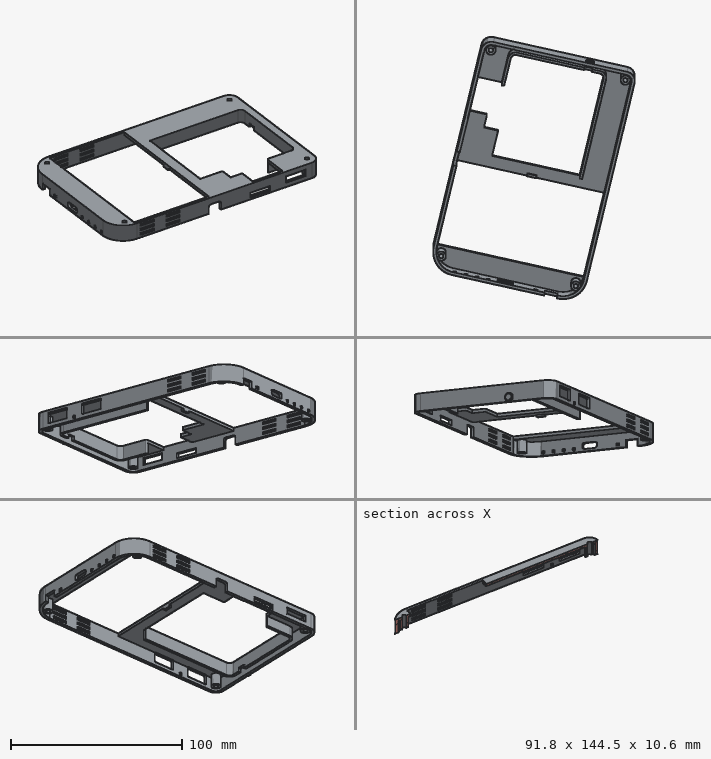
import cadquery as cq

WIDTH = 91.77
LENGTH = 143.37
HEIGHT = 10.6
WALL = 1.9
PLATE = 2.0
FRONT_RADIUS = 14.3
BACK_RADIUS = 5.9
LEFT = -WIDTH / 2
RIGHT = WIDTH / 2
FRONT = -LENGTH / 2
BACK = LENGTH / 2
INNER_RIGHT = RIGHT - WALL
PLATE_BOTTOM = HEIGHT - PLATE

OPENING_HALF_WIDTH = 27.75
OPENING_BACK = BACK - 5.3
OPENING_FRONT = BACK - 70.0
OPENING_RADIUS = 2.8
BAY_BACK = BACK - 25.2
BAY_FRONT = BACK - 46.2
STEP_RIGHT = 33.1
STEP_FRONT = BACK - 54.3
STEP_LEFT = 24.6
BAY_CORNER_RADIUS = 1.0
STEP_CORNER_RADIUS = 0.5

RIB = 1.6
RIB_BOTTOM = 2.0

LOWER_BACK = BACK - 77.1
LOWER_FRONT = FRONT + 13.8

TONGUE_LEFT = -3.4
TONGUE_RIGHT = 2.2
TONGUE_DEPTH = 1.2
TONGUE_RADIUS = 0.8

SCREW_DIAMETER = 2.6
BOSS_DIAMETER = 5.6
BOSS_BOTTOM = 1.2
SCREW_X = 40.3
BACK_SCREW_Y = BACK - 5.5
FRONT_SCREW_Y = FRONT + 9.5

PORT_LENGTH = 14.0
PORT_BOTTOM = 2.35
PORT_TOP = 9.0
PORT_RADIUS = 0.6
BACK_PORT_Y = BACK - 16.9
MIDDLE_PORT_Y = BACK - 42.0
MIDDLE_RIGHT_PORT_BOTTOM = 1.5
MIDDLE_RIGHT_PORT_TOP = 4.5
BACK_RIGHT_PORT_BOTTOM = 3.0
BACK_RIGHT_PORT_TOP = 7.2

SIDE_PINHOLE_Y = BACK - 29.2
PINHOLE_Z = 2.0
PINHOLE_DIAMETER = 1.7

VENT_LENGTH = 9.3
VENT_HEIGHT = 1.2
VENT_YS = (FRONT + 40.0, FRONT + 21.9)
VENT_ZS = (2.3, 5.4, 8.5)

NOTCH_BACK = BACK - 69.7
NOTCH_FRONT = BACK - 78.2
NOTCH_TOP = 6.0
NOTCH_RADIUS = 1.5

CARD_SLOT_LEFT = LEFT + 14.8
CARD_SLOT_RIGHT = LEFT + 22.3
CARD_SLOT_TOP = 4.2
USB_X = LEFT + 46.0
USB_WIDTH = 9.7
USB_BOTTOM = 1.5
USB_TOP = 5.2
USB_RADIUS = 1.6
RESET_X = LEFT + 27.7
RESET_WIDTH = 2.0
RESET_HEIGHT = 1.3
LIGHT_FIRST_X = LEFT + 56.2
LIGHT_PITCH = 6.65
LIGHT_COUNT = 4

BUTTON_X = LEFT + 28.1
BUTTON_Z = 2.6
BUTTON_DIAMETER = 5.0
BUTTON_DEPTH = 1.1
BUTTON_CHAMFER = 0.5
RIB_GAP_WIDTH = 4.8
RIB_GAP_TOP = 4.3


def block(x_min, x_max, y_min, y_max, z_min, z_max):
    """Box given by its limits."""
    size = (x_max - x_min, y_max - y_min, z_max - z_min)
    return cq.Workplane("XY").box(*size, centered=False).translate((x_min, y_min, z_min))


def rounded_prism(inset, z_min, z_max):
    """Body outline moved inward by inset, with large front and smaller back corners."""
    prism = block(LEFT + inset, RIGHT - inset, FRONT + inset, BACK - inset, z_min, z_max)
    prism = prism.edges("|Z and <Y").fillet(FRONT_RADIUS - inset)
    return prism.edges("|Z and >Y").fillet(BACK_RADIUS - inset)


def upper_opening():
    """Stepped cutter through the full height."""
    outline = [
        (-OPENING_HALF_WIDTH, OPENING_FRONT),
        (-OPENING_HALF_WIDTH, OPENING_BACK),
        (OPENING_HALF_WIDTH, OPENING_BACK),
        (OPENING_HALF_WIDTH, BAY_BACK),
        (INNER_RIGHT, BAY_BACK),
        (INNER_RIGHT, BAY_FRONT),
        (STEP_RIGHT, BAY_FRONT),
        (STEP_RIGHT, STEP_FRONT),
        (STEP_LEFT, STEP_FRONT),
        (STEP_LEFT, OPENING_FRONT),
    ]
    cutter = cq.Workplane("XY").polyline(outline).close().extrude(HEIGHT)
    cutter = cutter.edges("|Z and >Y").fillet(OPENING_RADIUS)
    cutter = round_corner(cutter, OPENING_HALF_WIDTH, BAY_BACK, BAY_CORNER_RADIUS)
    cutter = round_corner(cutter, STEP_RIGHT, BAY_FRONT, STEP_CORNER_RADIUS)
    return round_corner(cutter, STEP_LEFT, STEP_FRONT, STEP_CORNER_RADIUS)


def round_corner(solid, x, y, radius):
    """Round the vertical edge of a full-height solid nearest to (x, y)."""
    nearest = cq.selectors.NearestToPointSelector((x, y, HEIGHT / 2))
    return solid.edges("|Z").edges(nearest).fillet(radius)


def opening_rib():
    """Rib along the left, back and right edges of the upper opening, before the opening is cut."""
    outer = OPENING_HALF_WIDTH + RIB
    rib = block(-outer, outer, BAY_BACK, OPENING_BACK + RIB, RIB_BOTTOM, HEIGHT)
    rib = rib.edges("|Z and >Y").fillet(OPENING_RADIUS + RIB)
    left_rib = block(-outer, -OPENING_HALF_WIDTH, OPENING_FRONT, BAY_BACK, RIB_BOTTOM, HEIGHT)
    return rib.union(left_rib)


def side_slot(y, length, z_min, z_max, x_min, x_max, radius=0):
    """Cutter along X through one or both side walls, centred on y."""
    slot = block(x_min, x_max, y - length / 2, y + length / 2, z_min, z_max)
    if radius:
        slot = slot.edges("|X").fillet(radius)
    return slot


def front_slot(x, width, z_min, z_max):
    """Cutter through the front wall, centred on x."""
    return block(x - width / 2, x + width / 2, FRONT, FRONT + WALL, z_min, z_max)


def corner_cylinders(diameter, bottom):
    """Four cylinders on the screw axes, from bottom up to the top face."""
    centres = [(side * SCREW_X, y) for side in (-1, 1) for y in (BACK_SCREW_Y, FRONT_SCREW_Y)]
    cylinders = cq.Workplane("XY", origin=(0, 0, bottom)).pushPoints(centres)
    return cylinders.circle(diameter / 2).extrude(HEIGHT - bottom)


def bar_tongue():
    """Small tongue with rounded lower corners, flush with the front edge of the bar."""
    bottom = PLATE_BOTTOM - TONGUE_DEPTH
    tongue = block(TONGUE_LEFT, TONGUE_RIGHT, LOWER_BACK, LOWER_BACK + RIB, bottom, PLATE_BOTTOM)
    return tongue.edges("|Y and <Z").fillet(TONGUE_RADIUS)


def cut_side_openings(body):
    """Ports, pinhole, vents and notch in the two side walls."""
    left_wall = (LEFT, LEFT + WALL)
    right_wall = (INNER_RIGHT, RIGHT)
    for y in (BACK_PORT_Y, MIDDLE_PORT_Y):
        body = body.cut(side_slot(y, PORT_LENGTH, PORT_BOTTOM, PORT_TOP, *left_wall, PORT_RADIUS))
    right_ports = (
        (BACK_PORT_Y, BACK_RIGHT_PORT_BOTTOM, BACK_RIGHT_PORT_TOP),
        (MIDDLE_PORT_Y, MIDDLE_RIGHT_PORT_BOTTOM, MIDDLE_RIGHT_PORT_TOP),
    )
    for y, bottom, top in right_ports:
        body = body.cut(side_slot(y, PORT_LENGTH, bottom, top, *right_wall))
    pinhole = cq.Workplane("YZ", origin=(LEFT, SIDE_PINHOLE_Y, PINHOLE_Z))
    body = body.cut(pinhole.circle(PINHOLE_DIAMETER / 2).extrude(WALL))
    for y in VENT_YS:
        for z in VENT_ZS:
            z_min = z - VENT_HEIGHT / 2
            body = body.cut(side_slot(y, VENT_LENGTH, z_min, z_min + VENT_HEIGHT, LEFT, RIGHT))
    notch = block(*right_wall, NOTCH_FRONT, NOTCH_BACK, 0, NOTCH_TOP)
    return body.cut(notch.edges("|X and >Z").fillet(NOTCH_RADIUS))


def cut_front_openings(body):
    """Card slot, USB port, reset hole and indicator lights in the front wall."""
    body = body.cut(block(CARD_SLOT_LEFT, CARD_SLOT_RIGHT, FRONT, FRONT + WALL, 0, CARD_SLOT_TOP))
    body = body.cut(front_slot(USB_X, USB_WIDTH, USB_BOTTOM, USB_TOP).edges("|Y").fillet(USB_RADIUS))
    reset_bottom = PINHOLE_Z - RESET_HEIGHT / 2
    body = body.cut(front_slot(RESET_X, RESET_WIDTH, reset_bottom, reset_bottom + RESET_HEIGHT))
    for index in range(LIGHT_COUNT):
        x = LIGHT_FIRST_X + index * LIGHT_PITCH
        light = cq.Workplane("XZ", origin=(x, FRONT + WALL, PINHOLE_Z))
        body = body.cut(light.circle(PINHOLE_DIAMETER / 2).extrude(WALL))
    return body


def add_button(body):
    """Clear the rib in front of the button, and add the button to the back wall."""
    half_gap = RIB_GAP_WIDTH / 2
    gap = block(
        BUTTON_X - half_gap,
        BUTTON_X + half_gap,
        OPENING_BACK,
        OPENING_BACK + RIB,
        RIB_BOTTOM,
        RIB_GAP_TOP,
    )
    button = cq.Workplane("XZ", origin=(BUTTON_X, BACK + BUTTON_DEPTH, BUTTON_Z))
    button = button.circle(BUTTON_DIAMETER / 2).extrude(BUTTON_DEPTH + WALL)
    button = button.faces(">Y").chamfer(BUTTON_CHAMFER)
    return body.cut(gap).union(button)


def build_part():
    """Open-bottomed tray with its openings and button."""
    body = rounded_prism(0, 0, HEIGHT).cut(rounded_prism(WALL, 0, PLATE_BOTTOM))
    body = body.union(opening_rib())
    body = body.union(corner_cylinders(BOSS_DIAMETER, BOSS_BOTTOM))
    body = body.cut(upper_opening())
    body = body.cut(block(-INNER_RIGHT, INNER_RIGHT, LOWER_FRONT, LOWER_BACK, 0, HEIGHT))
    body = body.union(bar_tongue())
    body = body.cut(corner_cylinders(SCREW_DIAMETER, 0))
    body = cut_side_openings(body)
    body = cut_front_openings(body)
    return add_button(body)


result = build_part()